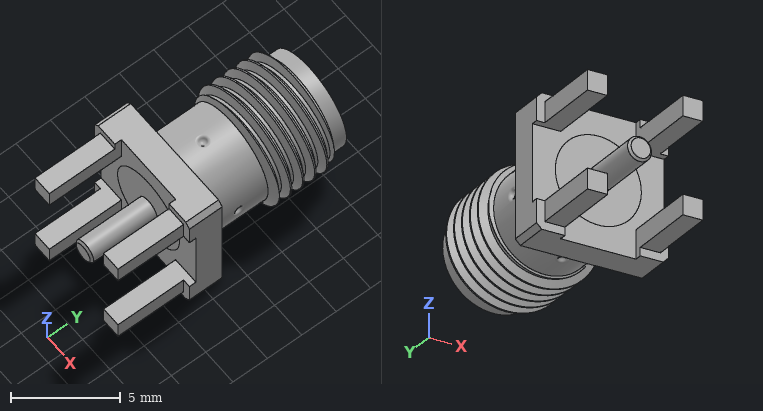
import cadquery as cq
import math


flange_width = 7.01
flange_corner_chamfer = 0.27
foot_height = 0.38
flange_thickness = 1.525
leg_length = 3.81
leg_width = 1.07
leg_inner_offset = 2.0

barrel_radius = 5.385 / 2
barrel_length = 7.875
thread_major_radius = 6.35 / 2
threads_per_inch = 36
thread_pitch = 25.4 / threads_per_inch
thread_start_from_mouth = 0.77
thread_end_from_mouth = 4.57
thread_half_angle = math.radians(30)
crest_width = thread_pitch / 8
root_width = thread_pitch / 4
flank_width = (thread_pitch - crest_width - root_width) / 2
thread_depth = flank_width / math.tan(thread_half_angle)
first_crest_from_mouth = 1.145
spare_groove_turns = 2
cutter_overshoot = 0.02

dimple_count = 4
dimple_from_flange = 1.65
dimple_ball_radius = 0.23
dimple_edge_radius = 0.15

insulator_radius = 4.57 / 2
pin_radius = 1.27 / 2
pin_projection = 3.8
pin_tip_chamfer = 0.12

plate_back = foot_height
barrel_start = plate_back + flange_thickness
mouth = barrel_start + barrel_length
thread_front = mouth - thread_start_from_mouth
thread_back = mouth - thread_end_from_mouth
pin_tip = plate_back - pin_projection


def turned(profile):
    """Revolve a closed outline of (Y, radius) points about the Y axis."""
    return cq.Workplane("YZ").polyline(profile).close().revolve(360, (0, 0), (1, 0))


def rod(start, end, radius):
    """Plain cylinder along Y."""
    return turned([(start, 0), (end, 0), (end, radius), (start, radius)])


def corner_block(inner, outer, start, end):
    """Square block in the +X +Z corner, from inner to outer in X and Z and start to end in Y."""
    size = outer - inner
    return cq.Workplane("XY").box(size, end - start, size, centered=False).translate((inner, start, inner))


def make_flange():
    """Square plate with a foot and a leg at each corner."""
    flange = cq.Workplane("XY").box(flange_width, barrel_start, flange_width)
    flange = flange.translate((0, barrel_start / 2, 0)).edges("|Y").chamfer(flange_corner_chamfer)

    gap_width = 2 * leg_inner_offset
    for width, height in ((gap_width, flange_width), (flange_width, gap_width)):
        gap = cq.Workplane("XY").box(width, foot_height, height)
        flange = flange.cut(gap.translate((0, foot_height / 2, 0)))

    leg = corner_block(leg_inner_offset, leg_inner_offset + leg_width, -leg_length, foot_height)
    for quarter in range(4):
        flange = flange.union(leg.rotate((0, 0, 0), (0, 1, 0), 90 * quarter))
    return flange


def make_barrel_blank():
    """Barrel with a raised band for the thread, its ends sloped like the thread flanks."""
    slope_length = (thread_major_radius - barrel_radius) * math.tan(thread_half_angle)
    return turned([
        (barrel_start, 0),
        (barrel_start, barrel_radius),
        (thread_back, barrel_radius),
        (thread_back + slope_length, thread_major_radius),
        (thread_front - slope_length, thread_major_radius),
        (thread_front, barrel_radius),
        (mouth, barrel_radius),
        (mouth, 0),
    ])


def make_thread_groove():
    """Right-handed helical V groove that runs out past both ends of the raised band."""
    root_radius = thread_major_radius - thread_depth
    outer_radius = thread_major_radius + cutter_overshoot
    half_root = root_width / 2
    half_mouth = half_root + (outer_radius - root_radius) * math.tan(thread_half_angle)
    turns = math.ceil((thread_front - thread_back) / thread_pitch) + spare_groove_turns
    groove_length = turns * thread_pitch

    helix = cq.Wire.makeHelix(thread_pitch, groove_length, root_radius)
    groove = (
        cq.Workplane("XZ")
        .polyline([
            (root_radius, -half_root),
            (outer_radius, -half_mouth),
            (outer_radius, half_mouth),
            (root_radius, half_root),
        ])
        .close()
        .sweep(cq.Workplane(obj=helix), isFrenet=True)
    )
    groove = groove.rotate((0, 0, 0), (1, 0, 0), -90).rotate((0, 0, 0), (0, 1, 0), 180)
    groove_front = mouth - first_crest_from_mouth + thread_pitch / 2 + thread_pitch
    return groove.translate((0, groove_front - groove_length, 0))


def add_dimples(barrel):
    """Press ball-shaped dimples with rounded rims into the barrel, evenly spaced around it."""
    dimple_y = barrel_start + dimple_from_flange
    ball = cq.Workplane("XY").sphere(dimple_ball_radius).translate((0, dimple_y, barrel_radius))
    for index in range(dimple_count):
        barrel = barrel.cut(ball.rotate((0, 0, 0), (0, 1, 0), 360 / dimple_count * index))

    slice_side = barrel_radius + dimple_ball_radius
    slice_half_width = 2 * dimple_ball_radius
    rims = cq.selectors.BoxSelector(
        (-slice_side, dimple_y - slice_half_width, -slice_side),
        (slice_side, dimple_y + slice_half_width, slice_side),
        boundingbox=True,
    )
    return barrel.faces("%CYLINDER").edges(rims).fillet(dimple_edge_radius)


def make_housing():
    barrel = add_dimples(make_barrel_blank()).cut(make_thread_groove())
    return make_flange().union(barrel).cut(rod(plate_back, mouth, insulator_radius))


def make_insulator():
    """Sleeve that fills the housing bore and holds the pin."""
    return rod(plate_back, mouth, insulator_radius).cut(rod(plate_back, mouth, pin_radius))


def make_pin():
    return rod(pin_tip, mouth, pin_radius).faces("<Y").chamfer(pin_tip_chamfer)


housing = make_housing()
insulator = make_insulator()
pin = make_pin()

result = cq.Compound.makeCompound([body.solids().val() for body in (housing, insulator, pin)])